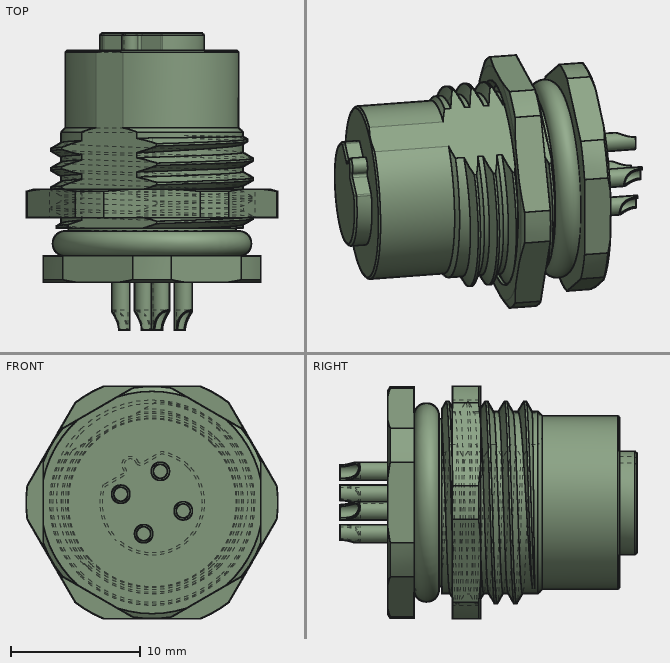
import cadquery as cq
import math


FLANGE_THICKNESS = 2.05
FLANGE_ACROSS_FLATS = 16.84
FLANGE_RADIUS = 8.98
FLANGE_CHAMFER_WIDTH = 0.38
FLANGE_CHAMFER_HEIGHT = 0.21

SEAL_SECTION_RADIUS = 0.98
SEAL_OUTER_RADIUS = 7.7
SEAL_SQUEEZE = 0.02
NECK_RADIUS = 6.5

SHELL_RADIUS = 6.72
SHELL_END_Y = 15.91
SHELL_CHAMFER = 0.15
FLAT_DISTANCE = 6.61
KEY_ANGLE = 120.0

THREAD_START_Y = 2.16
THREAD_SHOULDER_Y = 9.92
THREAD_ROOT_RADIUS = 7.05
THREAD_CREST_RADIUS = 7.85
THREAD_PITCH = 1.5
THREAD_FLANK_ANGLE = 30.0
THREAD_CREST_WIDTH = 0.18
THREAD_EMBED = 0.15
FULL_TURNS = 4
FULL_THREAD_START_Y = 2.585
FULL_THREAD_ANGLE = 90.0
RUNOUT_TURNS = 0.5
RUNOUT_EXTRA_SINK = 0.1

INSERT_RADIUS = 4.05
INSERT_LENGTH = 1.35
INSERT_FLAT_DISTANCE = 3.09
INSERT_CHAMFER = 0.18
INSERT_CORNER_RADIUS = 0.2
KEY_WIDTH = 1.29
KEY_FOOT_RADIUS = 0.2

PIN_COUNT = 4
PIN_CIRCLE_RADIUS = 2.5
FIRST_PIN_ANGLE = 75.0
PIN_RADIUS = 0.71
PIN_LENGTH = 3.69
CUP_RADIUS = 0.54
CUP_DEPTH = 1.56
CUP_WALL_DROP = 0.2

NUT_START_Y = 2.96
NUT_THICKNESS = 2.21
NUT_ACROSS_FLATS = 18.02
NUT_RADIUS = 9.75
NUT_BORE_RADIUS = 7.95
NUT_CHAMFER_WIDTH = 0.65
NUT_CHAMFER_HEIGHT = 0.18

AXIS_START = (0, 0, 0)
AXIS_END = (0, 1, 0)


def section_plane(y):
    """Plane across the axis at height y, facing +Y, with local x = X and local y = -Z."""
    return cq.Workplane(cq.Plane(origin=(0, y, 0), xDir=(1, 0, 0), normal=(0, 1, 0)))


def revolve_profile(points):
    """Turn a closed (radius, y) outline around the Y axis."""
    return cq.Workplane("XY").polyline(points).close().revolve(360, AXIS_START, AXIS_END)


def turn_to(body, angle):
    """Turn a body made along +X to an angle measured from +X towards +Z."""
    return body.rotate(AXIS_START, AXIS_END, -angle)


def hexagon(start_y, thickness, across_flats):
    """Hexagonal prism with two corners on the X axis."""
    corner_diameter = across_flats / math.cos(math.pi / 6)
    return section_plane(start_y).polygon(6, corner_diameter).extrude(thickness)


def make_flange():
    back_y = -FLANGE_THICKNESS
    blank = revolve_profile([
        (0, back_y),
        (FLANGE_RADIUS - FLANGE_CHAMFER_WIDTH, back_y),
        (FLANGE_RADIUS, back_y + FLANGE_CHAMFER_HEIGHT),
        (FLANGE_RADIUS, 0),
        (0, 0),
    ])
    prism = hexagon(back_y, FLANGE_THICKNESS, FLANGE_ACROSS_FLATS)
    return blank.intersect(turn_to(prism, 30))


def make_seal():
    seal_center = (SEAL_SECTION_RADIUS - SEAL_OUTER_RADIUS, SEAL_SECTION_RADIUS - SEAL_SQUEEZE)
    section = cq.Workplane("XY").moveTo(*seal_center).circle(SEAL_SECTION_RADIUS)
    return section.revolve(360, AXIS_START, AXIS_END)


def make_shell():
    """Neck, thread core and plain sleeve in one turned body."""
    shoulder_chamfer = THREAD_ROOT_RADIUS - SHELL_RADIUS
    return revolve_profile([
        (0, -FLANGE_THICKNESS / 2),
        (NECK_RADIUS, -FLANGE_THICKNESS / 2),
        (NECK_RADIUS, THREAD_START_Y),
        (THREAD_ROOT_RADIUS, THREAD_START_Y),
        (THREAD_ROOT_RADIUS, THREAD_SHOULDER_Y - shoulder_chamfer),
        (SHELL_RADIUS, THREAD_SHOULDER_Y),
        (SHELL_RADIUS, SHELL_END_Y - SHELL_CHAMFER),
        (SHELL_RADIUS - SHELL_CHAMFER, SHELL_END_Y),
        (0, SHELL_END_Y),
    ])


def ridge_sweep(helix):
    """Sweep the thread section along a helix that starts on local +X at z = 0."""
    base = THREAD_ROOT_RADIUS - THREAD_EMBED
    half_crest = THREAD_CREST_WIDTH / 2
    half_base = half_crest + (THREAD_CREST_RADIUS - base) * math.tan(math.radians(THREAD_FLANK_ANGLE))
    section = cq.Workplane("XZ").polyline([
        (base, -half_base),
        (THREAD_CREST_RADIUS, -half_crest),
        (THREAD_CREST_RADIUS, half_crest),
        (base, half_base),
    ]).close()
    return section.sweep(cq.Workplane(obj=helix), isFrenet=True)


def make_thread():
    """Right-hand ridge: full turns with a runout at each end that sinks into the core."""
    full_height = FULL_TURNS * THREAD_PITCH
    full_ridge = ridge_sweep(cq.Wire.makeHelix(THREAD_PITCH, full_height, THREAD_ROOT_RADIUS))

    runout_height = RUNOUT_TURNS * THREAD_PITCH
    sink = THREAD_CREST_RADIUS - THREAD_ROOT_RADIUS + RUNOUT_EXTRA_SINK
    slope = math.atan2(sink, runout_height)
    runout_helix = cq.Wire.makeHelix(
        THREAD_PITCH / math.cos(slope),
        runout_height / math.cos(slope),
        THREAD_ROOT_RADIUS,
        angle=-math.degrees(slope),
    )
    runout = ridge_sweep(runout_helix)
    upper_runout = runout.translate((0, 0, full_height))
    lower_runout = runout.rotate((0, 0, 0), (1, 0, 0), 180)

    ridge = full_ridge.union(upper_runout).union(lower_runout)
    ridge = ridge.rotate((0, 0, 0), (1, 0, 0), -90).translate((0, FULL_THREAD_START_Y, 0))
    below_start = section_plane(THREAD_START_Y).circle(2 * THREAD_CREST_RADIUS).extrude(-full_height)
    return turn_to(ridge, FULL_THREAD_ANGLE).cut(below_start)


def make_key_flat():
    """Material beyond the flat along the threaded shell."""
    depth = THREAD_CREST_RADIUS
    length = SHELL_END_Y - THREAD_START_Y
    block = cq.Workplane("XY").box(depth, length, 2 * depth, centered=(False, False, True))
    return turn_to(block.translate((FLAT_DISTANCE, THREAD_START_Y, 0)), KEY_ANGLE)


def make_insert():
    """Round plug with one flat side and a round-ended key standing on the flat."""
    plug = section_plane(SHELL_END_Y).circle(INSERT_RADIUS).extrude(INSERT_LENGTH)
    beyond_flat = section_plane(SHELL_END_Y).center(INSERT_FLAT_DISTANCE + INSERT_RADIUS, 0)
    plug = plug.cut(beyond_flat.rect(2 * INSERT_RADIUS, 2 * INSERT_RADIUS).extrude(INSERT_LENGTH))
    plug = plug.edges("|Y").edges(">X").fillet(INSERT_CORNER_RADIUS)

    key_tip_center = INSERT_RADIUS - KEY_WIDTH / 2
    key = section_plane(SHELL_END_Y).center(key_tip_center / 2, 0).rect(key_tip_center, KEY_WIDTH)
    key_tip = section_plane(SHELL_END_Y).center(key_tip_center, 0).circle(KEY_WIDTH / 2)
    plug = plug.union(key.extrude(INSERT_LENGTH)).union(key_tip.extrude(INSERT_LENGTH))

    foot = cq.selectors.BoxSelector(
        (INSERT_FLAT_DISTANCE - KEY_FOOT_RADIUS / 4, SHELL_END_Y, -KEY_WIDTH),
        (INSERT_FLAT_DISTANCE + KEY_FOOT_RADIUS / 4, SHELL_END_Y + INSERT_LENGTH, KEY_WIDTH),
    )
    plug = plug.edges("|Y").edges(foot).fillet(KEY_FOOT_RADIUS)
    return turn_to(plug.faces(">Y").chamfer(INSERT_CHAMFER), KEY_ANGLE)


def make_pin(pin_angle, opening_angle):
    """Solder pin with a bored cup, cut open by an arc towards opening_angle."""
    end_y = -FLANGE_THICKNESS - PIN_LENGTH
    pin = section_plane(end_y).circle(PIN_RADIUS).extrude(PIN_LENGTH + FLANGE_THICKNESS / 2)
    bore = section_plane(end_y).circle(CUP_RADIUS).extrude(CUP_DEPTH)

    rise = PIN_RADIUS + CUP_WALL_DROP
    arc_radius = (CUP_DEPTH ** 2 + rise ** 2) / (2 * rise)
    opening = (
        cq.Workplane("XY")
        .center(arc_radius - CUP_WALL_DROP, end_y)
        .circle(arc_radius)
        .extrude(PIN_RADIUS, both=True)
    )
    pin = turn_to(pin.cut(bore).cut(opening), opening_angle)

    angle = math.radians(pin_angle)
    return pin.translate((PIN_CIRCLE_RADIUS * math.cos(angle), 0, PIN_CIRCLE_RADIUS * math.sin(angle)))


def make_connector():
    threaded_shell = make_shell().union(make_thread()).cut(make_key_flat())
    connector = make_flange().union(threaded_shell).union(make_seal()).union(make_insert())
    for index in range(PIN_COUNT):
        pin_angle = FIRST_PIN_ANGLE + index * 360 / PIN_COUNT
        beside_key = math.sin(math.radians(pin_angle - KEY_ANGLE))
        opening_angle = KEY_ANGLE + math.copysign(90, beside_key)
        connector = connector.union(make_pin(pin_angle, opening_angle))
    return connector


def make_nut():
    end_y = NUT_START_Y + NUT_THICKNESS
    blank = revolve_profile([
        (NUT_BORE_RADIUS, NUT_START_Y),
        (NUT_RADIUS, NUT_START_Y),
        (NUT_RADIUS, end_y - NUT_CHAMFER_HEIGHT),
        (NUT_RADIUS - NUT_CHAMFER_WIDTH, end_y),
        (NUT_BORE_RADIUS, end_y),
    ])
    return blank.intersect(hexagon(NUT_START_Y, NUT_THICKNESS, NUT_ACROSS_FLATS))


connector = make_connector()
nut = make_nut()

result = cq.Compound.makeCompound([connector.val(), nut.val()])